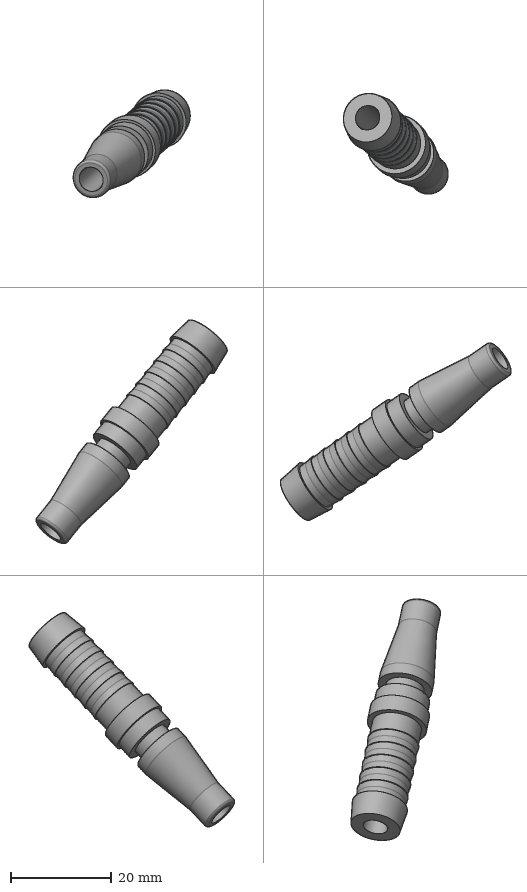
import cadquery as cq

total_length = 52.0
tip_length = 5.0
cone_end = 16.5
groove_start = 18.9
groove_end = 21.35
collar_start = 24.5
collar_end = 28.0

bore_radius = 2.5
tip_radius = 3.9
plug_radius = 5.45
collar_radius = 12.0 / 2
hose_radius = 5.0
ridge_radius = 5.2
head_radius = 5.6

tip_fillet = 0.5

head_length = 4.95
ridge_count = 5
ridge_pitch = 3.0
ridge_length = ridge_pitch / 2

tip_face = -total_length / 2


def cylinder(radius, start, end):
    """Cylinder between two stations measured from the plug tip."""
    plane = cq.Workplane("XZ", origin=(0, tip_face + start, 0))
    return plane.circle(radius).extrude(start - end)


def taper(start_radius, end_radius, start, end):
    """Cone frustum between two stations measured from the plug tip."""
    profile = [
        (0, tip_face + start),
        (start_radius, tip_face + start),
        (end_radius, tip_face + end),
        (0, tip_face + end),
    ]
    return cq.Workplane("XY").polyline(profile).close().revolve(360, (0, 0, 0), (0, 1, 0))


tip = cylinder(tip_radius, 0, groove_end).faces("<Y").edges().fillet(tip_fillet)
cone = taper(tip_radius, plug_radius, tip_length, cone_end)
front_land = cylinder(plug_radius, cone_end, groove_start)
shoulder = cylinder(plug_radius, groove_end, collar_start)

collar = cylinder(collar_radius, collar_start, collar_end)
tail = cylinder(hose_radius, collar_end, total_length)
body = tip.union(cone).union(front_land).union(shoulder).union(collar).union(tail)

head_base = total_length - head_length
body = body.union(taper(head_radius, hose_radius, head_base, total_length))
for index in range(ridge_count):
    ridge_base = head_base - (index + 1) * ridge_pitch
    ridge = taper(ridge_radius, hose_radius, ridge_base, ridge_base + ridge_length)
    body = body.union(ridge)

result = body.cut(cylinder(bore_radius, 0, total_length))